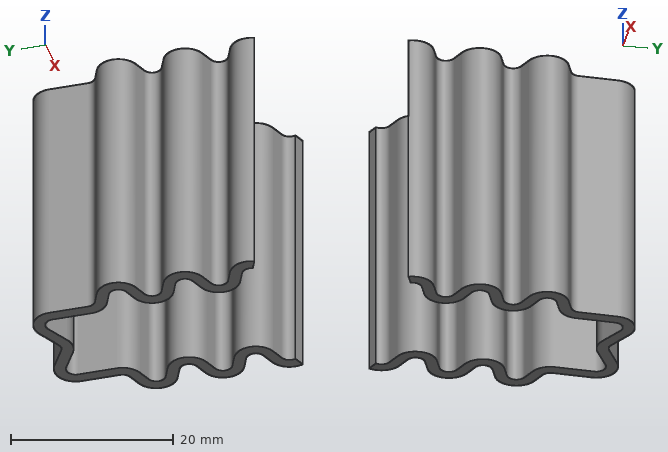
import cadquery as cq
import math

HEIGHT = 34.0
DEPTH = 30.0
WIDTH = 23.0
INNER_GAP = 12.0
THICKNESS = 1.5
INNER_RADIUS = 1.2
WAVE_SLOPE = math.radians(22.5)
WAVE_COUNT = 3
NOTCH_SLOPE = math.radians(30)

MID_RADIUS = INNER_RADIUS + THICKNESS / 2
WALL_X = (INNER_GAP + THICKNESS) / 2
CREST_X = (WIDTH - THICKNESS) / 2
INWARD_CENTER_X = WALL_X + MID_RADIUS
OUTWARD_CENTER_X = CREST_X - MID_RADIUS
SHOULDER_CENTER_X = WALL_X - MID_RADIUS

CENTER_SHIFT = OUTWARD_CENTER_X - INWARD_CENTER_X
HALF_PITCH = (2 * MID_RADIUS + CENTER_SHIFT * math.sin(WAVE_SLOPE)) / math.cos(WAVE_SLOPE)
WAVE_PITCH = 2 * HALF_PITCH

OUTER_RADIUS = INNER_RADIUS + THICKNESS
FRONT_Y = -DEPTH / 2
LAST_CENTER_Y = FRONT_Y + OUTER_RADIUS * math.sin(WAVE_SLOPE)
FIRST_CENTER_Y = LAST_CENTER_Y + (2 * WAVE_COUNT - 1) * HALF_PITCH
SHOULDER_CENTER_Y = DEPTH / 2 - OUTER_RADIUS

NOTCH_RISE = (
    2 * MID_RADIUS - SHOULDER_CENTER_X * math.sin(NOTCH_SLOPE)
) / math.cos(NOTCH_SLOPE)
NOTCH_CENTER_Y = SHOULDER_CENTER_Y + NOTCH_RISE

QUARTER_TURN = math.pi / 2


def leg_bends():
    """Bends of the +X half as (center x, center y, start angle, end angle), from notch to free end."""
    tangent_angle = QUARTER_TURN - WAVE_SLOPE
    bends = [
        (0, NOTCH_CENTER_Y, -QUARTER_TURN, NOTCH_SLOPE - QUARTER_TURN),
        (SHOULDER_CENTER_X, SHOULDER_CENTER_Y, QUARTER_TURN + NOTCH_SLOPE, 0),
    ]
    for wave in range(WAVE_COUNT):
        is_first = wave == 0
        is_last = wave == WAVE_COUNT - 1
        inward_y = FIRST_CENTER_Y - wave * WAVE_PITCH
        inward_start = math.pi if is_first else math.pi - tangent_angle
        outward_end = -WAVE_SLOPE if is_last else -tangent_angle
        bends.append((INWARD_CENTER_X, inward_y, inward_start, math.pi + tangent_angle))
        bends.append((OUTWARD_CENTER_X, inward_y - HALF_PITCH, tangent_angle, outward_end))
    return bends


def side_arc(bend, side):
    """Start, middle and end points of a bend on one face of the strip (side +1 or -1)."""
    center_x, center_y, start, end = bend
    turn = math.copysign(1, end - start)
    radius = MID_RADIUS - side * turn * THICKNESS / 2
    return [
        (center_x + radius * math.cos(angle), center_y + radius * math.sin(angle))
        for angle in (start, (start + end) / 2, end)
    ]


def half_strip():
    """The +X half: along the outer face to the free end, then back along the inner face."""
    bends = leg_bends()
    outer_arcs = [side_arc(bend, 1) for bend in bends]
    inner_arcs = [side_arc(bend, -1)[::-1] for bend in reversed(bends)]
    arcs = outer_arcs + inner_arcs

    outline = cq.Workplane("XY").moveTo(*arcs[0][0])
    for index, (start, middle, end) in enumerate(arcs):
        if index > 0:
            outline = outline.lineTo(*start)
        outline = outline.threePointArc(middle, end)
    return outline.close().extrude(HEIGHT)


def bent_strip():
    half = half_strip()
    return half.union(half.mirror("YZ")).clean()


result = bent_strip()